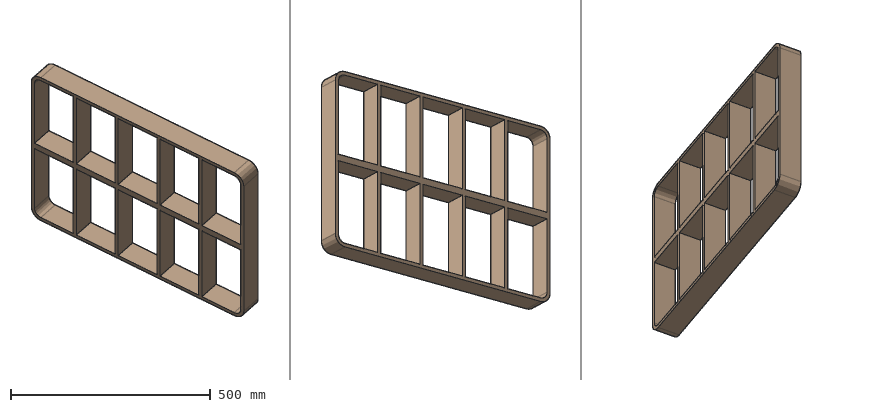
import cadquery as cq

length = 662.5
depth = 60.0
height = 476.0
wall = 10.0
middle_rail = 18.0
corner_radius = 30.0
columns = 5
rows = 2

cell_width = (length - (columns + 1) * wall) / columns
cell_height = (height - 2 * wall - (rows - 1) * middle_rail) / rows
column_pitch = cell_width + wall
row_pitch = cell_height + middle_rail


def rounded_block(width, tall, radius):
    """Block centred on the origin, with its four corner edges along Y rounded."""
    return cq.Workplane("XY").box(width, depth, tall).edges("|Y").fillet(radius)


def divider_grid():
    """Full-span dividers separating the rows and columns of openings."""
    grid = cq.Workplane("XY")
    for column in range(1, columns):
        x = (column - columns / 2) * column_pitch
        grid = grid.union(cq.Workplane("XY").box(wall, depth, height - wall).translate((x, 0, 0)))
    for row in range(1, rows):
        z = (row - rows / 2) * row_pitch
        grid = grid.union(cq.Workplane("XY").box(length - wall, depth, middle_rail).translate((0, 0, z)))
    return grid


outer = rounded_block(length, height, corner_radius)
inner = rounded_block(length - 2 * wall, height - 2 * wall, corner_radius - wall)
frame = outer.cut(inner)

result = frame.union(divider_grid())